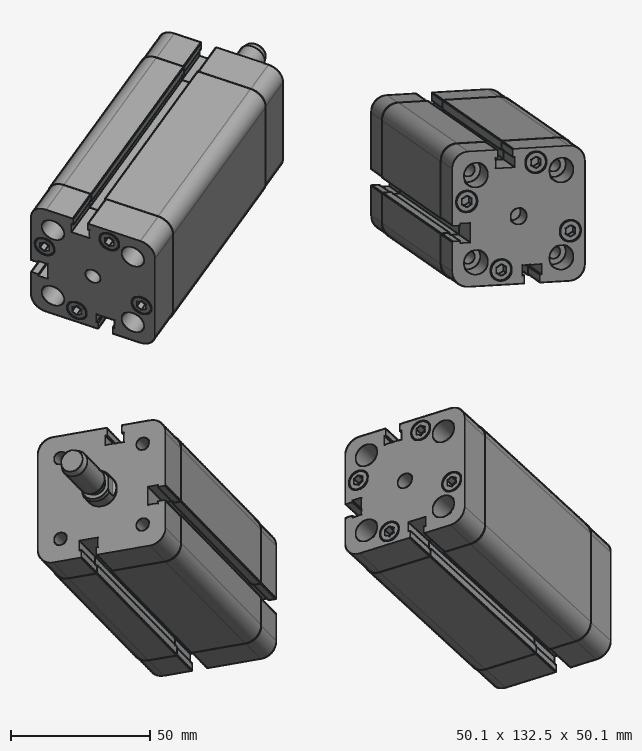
import cadquery as cq


CAP_WIDTH = 49.7
TUBE_OFFSET = 0.2
CAP_CORNER_RADIUS = 6.0
CAP_LENGTH = 14.5
HOUSING_LENGTH = 104.5
REAR_CAP_START = HOUSING_LENGTH - CAP_LENGTH
TUBE_LENGTH = REAR_CAP_START - CAP_LENGTH

SLOT_OFFSET = 5.0
SLOT_MOUTH_WIDTH = 5.7
SLOT_INNER_WIDTH = 7.2
SLOT_LIP_DEPTH = 3.0
SLOT_DEPTH = 6.8
SLOT_MOUTH_CHAMFER = 0.25
SLOT_SIDE_ANGLES = (0, 90, 180)

MOUNT_SPACING = 32.0
MOUNT_BORE_DIAMETER = 4.92
MOUNT_RECESS_DIAMETER = 9.0
MOUNT_RECESS_DEPTH = 10.0

CENTRE_HOLE_DIAMETER = 6.0
CENTRE_HOLE_DEPTH = 8.0

SCREW_NEAR_OFFSET = 6.5
SCREW_FAR_OFFSET = 19.4
SCREW_HEAD_DIAMETER = 7.5
SCREW_RECESS_DIAMETER = 8.0
SCREW_GAP_DEPTH = 0.5
SOCKET_CORNER_DIAMETER = 4.2
SOCKET_DEPTH = 3.5

ROD_DIAMETER = 12.0
ROD_LENGTH = 6.0
ROD_CHAMFER_LENGTH = 1.2
ROD_CHAMFER_DEPTH = 0.45
NECK_DIAMETER = 7.9
NECK_LENGTH = 2.65
THREAD_DIAMETER = 10.0
THREAD_TIP_DIAMETER = 8.4
THREAD_START_DIAMETER = 9.0
THREAD_END = 28.0
THREAD_TIP_CHAMFER = 2.5
THREAD_RUNOUT = 0.5

FLATS_WIDTH = 10.0
FLATS_LENGTH = 4.2


def front_plane(y):
    """Sketch plane at depth y whose extrusion runs along +Y; sketch axes are -X and Z."""
    return cq.Workplane(cq.Plane(origin=(0, y, 0), xDir=(-1, 0, 0), normal=(0, 1, 0)))


def rounded_bar(offset, start, length):
    width = CAP_WIDTH + 2 * offset
    bar = front_plane(start).rect(width, width).extrude(length)
    return bar.edges("|Y").fillet(CAP_CORNER_RADIUS + offset)


def make_housing():
    tube = rounded_bar(TUBE_OFFSET, CAP_LENGTH, TUBE_LENGTH)
    front_cap = rounded_bar(0, 0, CAP_LENGTH)
    rear_cap = rounded_bar(0, REAR_CAP_START, CAP_LENGTH)
    return tube.union(front_cap).union(rear_cap)


def slot_cutter(angle, offset, start, length):
    """Undercut slot in the top side, its walls moved inwards by offset, turned about the housing axis."""
    face = CAP_WIDTH / 2 + offset
    mouth = SLOT_MOUTH_WIDTH / 2 - offset
    inner = SLOT_INNER_WIDTH / 2 - offset
    flare = mouth + SLOT_MOUTH_CHAMFER
    lip = CAP_WIDTH / 2 - SLOT_LIP_DEPTH - offset
    floor = CAP_WIDTH / 2 - SLOT_DEPTH + offset
    right_side = [
        (flare, face),
        (mouth, face - SLOT_MOUTH_CHAMFER),
        (mouth, lip),
        (inner, lip),
        (inner, floor),
    ]
    left_side = [(-x, z) for x, z in reversed(right_side)]
    outline = [(SLOT_OFFSET + x, z) for x, z in right_side + left_side]
    cutter = front_plane(start).polyline(outline).close().extrude(length)
    return cutter.rotate((0, 0, 0), (0, 1, 0), -angle)


def cut_slots(body):
    for angle in SLOT_SIDE_ANGLES:
        body = body.cut(slot_cutter(angle, 0, 0, CAP_LENGTH))
        body = body.cut(slot_cutter(angle, TUBE_OFFSET, CAP_LENGTH, TUBE_LENGTH))
        body = body.cut(slot_cutter(angle, 0, REAR_CAP_START, CAP_LENGTH))
    return body


def cut_mounting_holes(body):
    centres = front_plane(0).rect(MOUNT_SPACING, MOUNT_SPACING, forConstruction=True).vertices()
    bores = centres.circle(MOUNT_BORE_DIAMETER / 2).extrude(HOUSING_LENGTH)
    recesses = centres.circle(MOUNT_RECESS_DIAMETER / 2).extrude(MOUNT_RECESS_DEPTH)
    return body.cut(bores).cut(recesses)


def cut_centre_hole(body):
    return body.cut(front_plane(0).circle(CENTRE_HOLE_DIAMETER / 2).extrude(CENTRE_HOLE_DEPTH))


def cut_screws(body):
    """Each screw shows as a narrow ring gap around its head and a hexagon socket."""
    near = SCREW_NEAR_OFFSET
    far = SCREW_FAR_OFFSET
    centres = [(-near, far), (far, near), (near, -far), (-far, -near)]
    screws = front_plane(0).pushPoints(centres)
    gaps = screws.circle(SCREW_RECESS_DIAMETER / 2).circle(SCREW_HEAD_DIAMETER / 2).extrude(SCREW_GAP_DEPTH)
    body = body.cut(gaps)
    for x, z in centres:
        socket = front_plane(0).polygon(6, SOCKET_CORNER_DIAMETER).extrude(SOCKET_DEPTH)
        socket = socket.rotate((0, 0, 0), (0, 1, 0), 90)
        body = body.cut(socket.translate((-x, 0, z)))
    return body


def make_rod():
    """Turned rod, with two wrench flats facing -X and +X."""
    rod = ROD_DIAMETER / 2
    thread = THREAD_DIAMETER / 2
    tip = THREAD_TIP_DIAMETER / 2
    start = THREAD_START_DIAMETER / 2
    neck = NECK_DIAMETER / 2
    thread_start = ROD_LENGTH + NECK_LENGTH
    profile = [
        (0, 0),
        (rod, 0),
        (rod, ROD_LENGTH - ROD_CHAMFER_LENGTH),
        (rod - ROD_CHAMFER_DEPTH, ROD_LENGTH),
        (neck, ROD_LENGTH),
        (neck, thread_start),
        (start, thread_start),
        (thread, thread_start + THREAD_RUNOUT),
        (thread, THREAD_END - THREAD_TIP_CHAMFER),
        (tip, THREAD_END),
        (0, THREAD_END),
    ]
    turned = cq.Workplane("XY").polyline(profile).close().revolve(360, (0, 0, 0), (0, 1, 0))
    for side in (-1, 1):
        turned = turned.cut(flat_cutter(side))
    return turned.translate((0, HOUSING_LENGTH, 0))


def flat_cutter(side):
    """Block that mills one wrench flat, curving out to the full rod diameter towards the housing."""
    flat = FLATS_WIDTH / 2
    rod = ROD_DIAMETER / 2
    flat_end = ROD_LENGTH - FLATS_LENGTH
    runout_radius = rod - flat
    outline = (
        cq.Workplane("XY")
        .moveTo(side * flat, ROD_LENGTH)
        .lineTo(side * flat, flat_end)
        .tangentArcPoint((side * rod, flat_end - runout_radius), relative=False)
        .lineTo(side * rod, ROD_LENGTH)
        .close()
    )
    return outline.extrude(rod, both=True)


housing = make_housing()
housing = cut_slots(housing)
housing = cut_mounting_holes(housing)
housing = cut_centre_hole(housing)
housing = cut_screws(housing)
result = housing.union(make_rod())